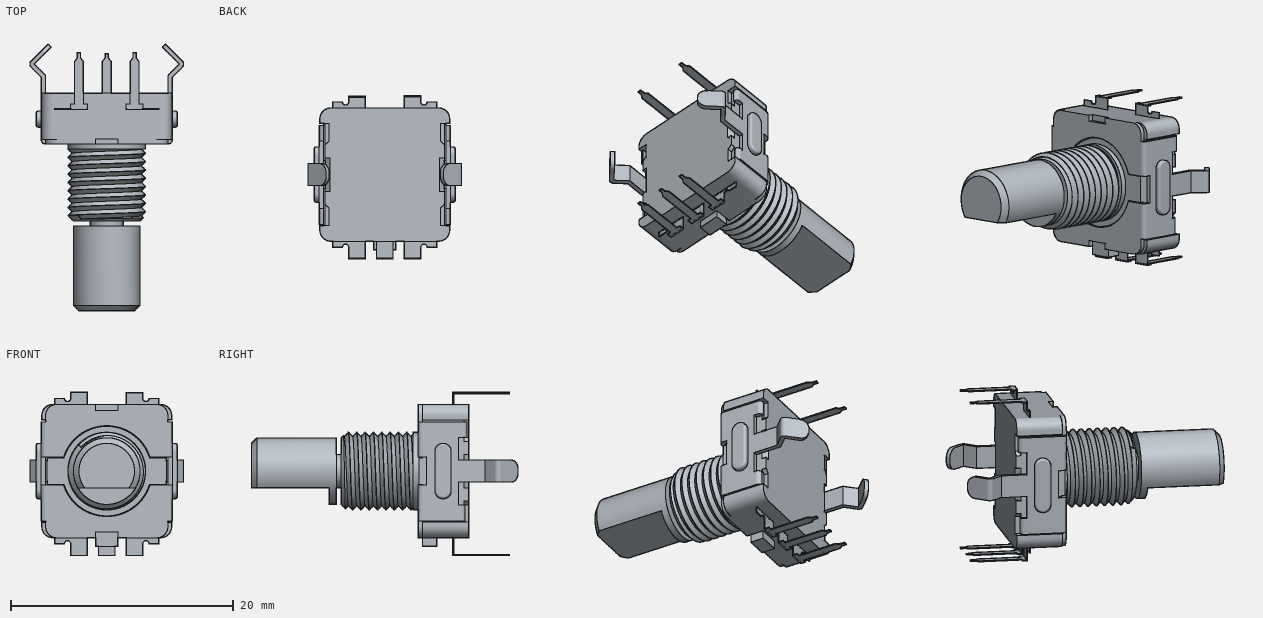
import cadquery as cq
import math


housing_height = 12.0
housing_width = 11.7
housing_back = 4.58
corner_radius = 1.0
corner_bottom = 4.6
plate_width = 11.0
core_width = 10.74
plate_thickness = 0.4
key_width = 2.0
key_depth = 0.54
key_reach = 0.45
locating_height = 0.78
locating_front = 0.4
locating_back = 1.7

flange_radius = 4.03
flange_clearance = 0.06
flange_band_height = 2.38
flange_recess = 0.08
wall_window_back = 0.77

wall_outer = 5.9
wall_thickness = 0.4
wall_bend_radius = 0.39
wall_top = 4.42
wall_bottom = -4.5
wall_upper_back = 4.4
wall_lower_back = 4.23
wall_relief_z = 3.04
wall_relief_y = 3.65
pad_length = 5.0
pad_width = 1.47
pad_y = 2.25
pad_outer = 6.35
pad_rounding = 0.2

hook_half_height = 1.0
hook_bend_y = 6.1
hook_bend_angle = 45
hook_out = 1.104
hook_back = 1.665
hook_tip_rounding = 0.85

tab_top = 2.67
tab_bottom = 1.5
tab_front = 4.14

sheet = 0.1
terminal_pitch = 2.5
terminal_y = 3.12
terminal_upper_left_z = 7.1
terminal_upper_right_z = 7.05
terminal_lower_z = -7.6
strip_outer_x = 4.69
strip_height = 0.55
strip_notch_radius = 0.28
foot_width = 1.5
foot_reach = 0.5
pin_width = 0.81
pin_taper_start = 7.44
pin_taper_end = 7.75
pin_tip_width = 0.31
pin_end = 8.22
middle_pin_end = 8.14

bushing_radius = 3.5
bushing_length = 6.92
bushing_chamfer = 0.5
collar_length = 0.45
thread_pitch = 0.75
thread_depth = 0.375
thread_crest = 0.03
thread_full_turns = 9
thread_end_angle = 137
neck_radius = 1.5
shaft_radius = 3.0
shaft_start = 7.35
shaft_length = 15.0
shaft_chamfer = 0.5
flat_start = 8.0
flat_z = -1.5

OVERLAP = 0.2


def box(x0, x1, y0, y1, z0, z1):
    size = (x1 - x0, y1 - y0, z1 - z0)
    return cq.Workplane("XY").box(*size, centered=False).translate((x0, y0, z0))


def cylinder(radius, start, end):
    """Cylinder on the shaft axis between two distances in front of the mounting face.

    Its seam is turned to -X, away from the start of the thread groove.
    """
    solid = cq.Workplane("XZ", origin=(0, -start, 0)).circle(radius).extrude(end - start)
    return solid.rotate((0, 0, 0), (0, 1, 0), 180)


def mirrored(left):
    return left.union(left.mirror("YZ"))


def make_housing():
    top = housing_height / 2
    half_core = core_width / 2
    half_plate = plate_width / 2
    block = box(-housing_width / 2, housing_width / 2, plate_thickness, housing_back, -top, top)
    block = block.edges("|Y").fillet(corner_radius)
    plate = box(-half_plate, half_plate, 0, plate_thickness, -top, top)
    plate = plate.edges("|Y").fillet(corner_radius)
    side = box(-wall_outer, -half_core, 0, housing_back, -corner_bottom, corner_bottom)
    housing = block.cut(mirrored(side)).union(plate)

    half_key = key_width / 2
    notch = box(-half_key, half_key, 0, key_reach, top - key_depth, top)
    housing = housing.cut(notch).cut(notch.mirror("XY"))
    block_bottom = -top - locating_height
    block_top = -top + key_depth
    locating_block = box(-half_key, half_key, locating_front, locating_back, block_bottom, block_top)
    return housing.union(locating_block)


def tab_openings():
    """Cuts at the back edge of the left side that leave two tabs standing."""
    x = -core_width / 2
    depth = housing_back - tab_front
    bevel = (
        cq.Workplane("XY", origin=(0, 0, -tab_bottom))
        .polyline([(x, tab_front), (x, housing_back), (x + depth, housing_back)])
        .close()
        .extrude(2 * tab_bottom)
    )
    recess_floor = x + wall_relief_z - tab_top
    recess = (
        cq.Workplane("XZ", origin=(0, housing_back, 0))
        .polyline([
            (x, tab_top),
            (x, corner_bottom),
            (recess_floor, corner_bottom),
            (recess_floor, wall_relief_z),
        ])
        .close()
        .extrude(depth)
    )
    return bevel.union(recess).union(recess.mirror("XY"))


def make_hook():
    """Left snap-in hook: a strip that bends outward by 45 degrees and back by 90 degrees."""
    half = wall_thickness / 2
    x = -wall_outer + half
    miter = half * math.tan(math.radians(hook_bend_angle / 2))
    diagonal = half * math.sqrt(2)
    end = half / math.sqrt(2)
    knee_x, knee_y = x - hook_out, hook_bend_y + hook_out
    tip_x, tip_y = knee_x + hook_back, knee_y + hook_back
    outline = [
        (x - half, wall_relief_y - OVERLAP),
        (x - half, hook_bend_y - miter),
        (knee_x - diagonal, knee_y),
        (tip_x - end, tip_y + end),
        (tip_x + end, tip_y - end),
        (knee_x + diagonal, knee_y),
        (x + half, hook_bend_y + miter),
        (x + half, wall_relief_y - OVERLAP),
    ]
    hook = cq.Workplane("XY", origin=(0, 0, -hook_half_height)).polyline(outline).close()
    hook = hook.extrude(2 * hook_half_height)
    hook = hook.edges("|Z").edges("<X").fillet(wall_thickness)
    tip_face = hook.faces(cq.selectors.DirectionNthSelector(cq.Vector(1, 1, 0), -1))
    return tip_face.edges("not |Z").fillet(hook_tip_rounding)


def make_side_wall():
    """Left side wall with its embossed pad and hook."""
    inner = -plate_width / 2
    wall = box(-wall_outer, inner, 0, wall_relief_y, wall_bottom, wall_top)
    wall = wall.edges("|Z and <X").edges("<Y").fillet(wall_bend_radius)
    upper = box(-wall_outer, inner, 0, wall_upper_back, wall_relief_z, wall_top)
    lower = box(-wall_outer, inner, 0, wall_lower_back, wall_bottom, -wall_relief_z)
    for rear_part in (upper, lower):
        wall = wall.union(rear_part.edges("|Z and <X").fillet(wall_bend_radius))
    pad = (
        cq.Workplane("YZ", origin=(-pad_outer, pad_y, 0))
        .slot2D(pad_length, pad_width, 90)
        .extrude(pad_outer + inner)
        .faces("<X")
        .edges()
        .fillet(pad_rounding)
    )
    return wall.union(pad).union(make_hook())


def flange_outline(radius, half_band, band_end, front, back):
    """Disc on the shaft axis with a band across the width, between two y values."""
    band = box(-band_end, band_end, front, back, -half_band, half_band)
    return cylinder(radius, -back, -front).union(band)


def flange_opening():
    """Opening in the face plate and the side walls."""
    half_band = flange_band_height / 2 + flange_clearance
    radius = flange_radius + flange_clearance
    opening = flange_outline(radius, half_band, plate_width / 2, 0, plate_thickness)
    window = box(-wall_outer, -core_width / 2, 0, wall_window_back, -half_band, half_band)
    return opening.union(mirrored(window))


def make_flange():
    half_band = flange_band_height / 2
    back = plate_thickness + OVERLAP
    return flange_outline(flange_radius, half_band, core_width / 2, flange_recess, back)


def make_pin(x, z, end):
    """Flat pin lying in the sheet that starts at height z, with a foot and a tapered tip."""
    points = [
        (foot_width / 2, terminal_y),
        (foot_width / 2, terminal_y + foot_reach),
        (pin_width / 2, terminal_y + foot_reach),
        (pin_width / 2, pin_taper_start),
        (pin_tip_width / 2, pin_taper_end),
        (pin_tip_width / 2, end),
    ]
    points += [(-px, py) for px, py in reversed(points)]
    return cq.Workplane("XY", origin=(x, 0, z)).polyline(points).close().extrude(sheet)


def make_outer_terminal(tip_z):
    """Left terminal above or below the housing; tip_z is the outer face of its pin."""
    edge = housing_height / 2
    reach = abs(tip_z)
    foot_outer = -terminal_pitch - foot_width / 2
    foot_inner = foot_outer + foot_width
    back = terminal_y + sheet
    strip_top = edge + strip_height
    strip = box(-strip_outer_x, foot_inner, terminal_y, back, edge - OVERLAP, strip_top)
    foot = box(foot_outer, foot_inner, terminal_y, back, edge, reach)
    notch = (
        cq.Workplane("XZ", origin=(0, back, 0))
        .center(foot_outer - strip_notch_radius, strip_top)
        .circle(strip_notch_radius)
        .extrude(sheet)
    )
    terminal = strip.cut(notch).union(foot)
    terminal = terminal.union(make_pin(-terminal_pitch, reach - sheet, pin_end))
    return terminal if tip_z > 0 else terminal.mirror("XY")


def make_middle_terminal():
    half = foot_width / 2
    foot = box(-half, half, terminal_y, terminal_y + sheet, terminal_lower_z, -housing_height / 2 + OVERLAP)
    return foot.union(make_pin(0, terminal_lower_z, middle_pin_end))


def thread_groove():
    """Right-handed V groove, swept about Z and then turned onto the shaft axis."""
    start = collar_length - thread_pitch
    height = thread_pitch * (thread_full_turns + thread_end_angle / 360)
    helix = cq.Wire.makeHelix(thread_pitch, height, bushing_radius, cq.Vector(0, 0, start))
    half_mouth = (thread_pitch - thread_crest) / 2
    root = bushing_radius - thread_depth
    flank_end = root + half_mouth
    beyond = bushing_radius + OVERLAP
    profile = [
        (root, start),
        (flank_end, start + half_mouth),
        (beyond, start + half_mouth),
        (beyond, start - half_mouth),
        (flank_end, start - half_mouth),
    ]
    groove = cq.Workplane("XZ").polyline(profile).close().sweep(cq.Workplane(helix), isFrenet=True)
    return groove.rotate((0, 0, 0), (1, 0, 0), 90)


def make_bushing():
    back = -flange_recess - OVERLAP
    bushing = cylinder(bushing_radius, back, bushing_length).faces("<Y").chamfer(bushing_chamfer)
    collar_guard = cylinder(2 * bushing_radius, -thread_pitch - collar_length, collar_length)
    return bushing.cut(thread_groove().cut(collar_guard))


def make_shaft():
    shaft = cylinder(shaft_radius, shaft_start, shaft_length).faces("<Y").chamfer(shaft_chamfer)
    flat = box(-shaft_radius, shaft_radius, -shaft_length, -flat_start, -shaft_radius, flat_z)
    neck = cylinder(neck_radius, bushing_length - OVERLAP, shaft_start + OVERLAP)
    return shaft.cut(flat).union(neck)


body = make_housing().cut(mirrored(tab_openings()))
body = body.union(mirrored(make_side_wall()))
body = body.cut(flange_opening()).union(make_flange())
body = body.union(make_outer_terminal(terminal_upper_left_z))
body = body.union(make_outer_terminal(terminal_upper_right_z).mirror("YZ"))
body = body.union(mirrored(make_outer_terminal(terminal_lower_z)))
body = body.union(make_middle_terminal())
result = body.union(make_bushing()).union(make_shaft())